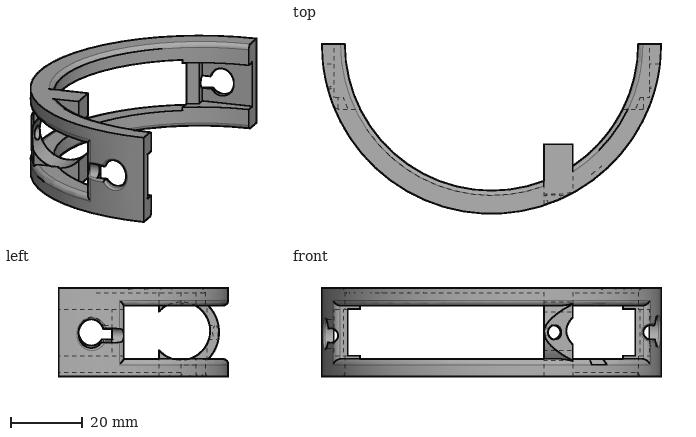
import cadquery as cq
import math

TOLERANCE = 0.01

OUTER_RADIUS = 47.45
INNER_RADIUS = 40.95
HEIGHT = 24.82
INNER_EDGE_FILLET = 1.3

WINDOW_HEIGHT = 14.84
WINDOW_FILLET = 1.6
PAD_FILLET = 2.0
PAD_LENGTH = 18.2

RECESS_RADIUS = 44.05
RECESS_HEIGHT = 13.0
RECESS_FLAT_LENGTH = 14.9

HOLE_Y = -9.1
HOLE_LENGTH = 7.1
HOLE_HEIGHT = 8.0
KEYHOLE_FILLET = 0.6
CHANNEL_DIAMETER = 4.0
LEFT_HOLE_Z = -0.4
LEFT_CHANNEL_X = -44.9
LEFT_CHANNEL_Z = -0.9
RIGHT_HOLE_Z = 0.3
RIGHT_CHANNEL_X = 44.45
RIGHT_CHANNEL_Z = 0.0

BLOCK_LEFT = 14.65
BLOCK_WIDTH = 8.1
BLOCK_RIGHT = BLOCK_LEFT + BLOCK_WIDTH
BLOCK_INNER_Y = -28.0
BLOCK_OUTER_Y = -44.0
BORE_Y = -34.15
BORE_Z = 0.4
BORE_RADIUS = 8.15
BRIDGE_RADIUS = 10.7
BRIDGE_FACE_RADIUS = 47.2
PIN_HOLE_DIAMETER = 4.0
PIN_HOLE_ANGLE = 22.0


def box(x_min, x_max, y_min, y_max, height):
    """Box given by its X and Y limits, centred on Z = 0."""
    size_x = x_max - x_min
    size_y = y_max - y_min
    return cq.Workplane("XY").box(size_x, size_y, height).translate(
        ((x_min + x_max) / 2, (y_min + y_max) / 2, 0)
    )


def disc(radius, height):
    """Cylinder on the Z axis, centred on Z = 0."""
    return cq.Workplane("XY", origin=(0, 0, -height / 2)).circle(radius).extrude(height)


def cylinder_along_x(radius, x_start, length, y, z):
    return cq.Workplane("YZ", origin=(x_start, y, z)).circle(radius).extrude(length)


def half_ring():
    """Plain half ring with its upper and lower inner edges rounded."""
    ring = disc(OUTER_RADIUS, HEIGHT).cut(disc(INNER_RADIUS, HEIGHT))
    ring = ring.edges(cq.selectors.RadiusNthSelector(0)).fillet(INNER_EDGE_FILLET)
    return ring.intersect(box(-OUTER_RADIUS, OUTER_RADIUS, -OUTER_RADIUS, 0, HEIGHT))


def is_on_outer_face(edge):
    radii = [math.hypot(*edge.positionAt(place).toTuple()[:2]) for place in (0, 0.3, 0.7, 1)]
    return min(radii) > OUTER_RADIUS - TOLERANCE


def is_window_rim(edge):
    """True for an arc of the window on the outer face of the ring."""
    at_window = abs(abs(edge.Center().z) - WINDOW_HEIGHT / 2) < TOLERANCE
    return at_window and is_on_outer_face(edge)


def cross_block():
    """Full-height block, trimmed to the outer face of the ring."""
    block = box(BLOCK_LEFT, BLOCK_RIGHT, BLOCK_OUTER_Y, BLOCK_INNER_Y, HEIGHT)
    return block.intersect(disc(OUTER_RADIUS, HEIGHT))


def bars():
    """Upper and lower half rings with their share of the cross block, rounded along the window."""
    window = box(-OUTER_RADIUS, OUTER_RADIUS, -OUTER_RADIUS, 0, WINDOW_HEIGHT)
    split_ring = half_ring().union(cross_block()).cut(window)
    return split_ring.edges().filter(is_window_rim).fillet(WINDOW_FILLET)


def pads():
    """Solid ends between the bars, rounded where their outer faces meet the window."""
    height = WINDOW_HEIGHT + 2 * WINDOW_FILLET
    ring = disc(OUTER_RADIUS, height).cut(disc(INNER_RADIUS, height))
    ends = ring.intersect(box(-OUTER_RADIUS, OUTER_RADIUS, -PAD_LENGTH, 0, height))
    window_edges = ends.faces("<Y").edges("|Z").filter(is_on_outer_face)
    return window_edges.fillet(PAD_FILLET)


def recess():
    """Space cut into the inner faces of both pads: a round groove with flat-bottomed ends."""
    groove = disc(RECESS_RADIUS, RECESS_HEIGHT)
    flat = box(-RECESS_RADIUS, RECESS_RADIUS, -RECESS_FLAT_LENGTH, 0, RECESS_HEIGHT)
    return groove.union(flat)


def cut_hole(body, side, hole_z):
    """Cut the oval hole through one pad; side is -1 for the left pad and 1 for the right."""
    hole = (
        cq.Workplane("YZ", origin=(0, HOLE_Y, hole_z))
        .ellipse(HOLE_LENGTH / 2, HOLE_HEIGHT / 2)
        .extrude(side * OUTER_RADIUS)
    )
    return body.cut(hole)


def cut_channel(body, channel_x, channel_z):
    """Cut the round channel along Y from the oval hole to the window."""
    channel = (
        cq.Workplane("XZ", origin=(channel_x, HOLE_Y, channel_z))
        .circle(CHANNEL_DIAMETER / 2)
        .extrude(PAD_LENGTH + HOLE_Y)
    )
    return body.cut(channel)


def round_keyhole_rim(body, side):
    """Round the keyhole edges on the outer face of the pad on the given side."""

    def is_keyhole_rim(edge):
        center = edge.Center()
        on_side = side * center.x > 0 and abs(center.z) < RECESS_HEIGHT / 2
        inside_pad = edge.BoundingBox().ymax < -TOLERANCE and edge.geomType() != "LINE"
        return on_side and inside_pad and is_on_outer_face(edge)

    return body.edges().filter(is_keyhole_rim).fillet(KEYHOLE_FILLET)


def bridge():
    """Part of the cross block inside the window, rounded about the bore."""
    rounded = cylinder_along_x(BRIDGE_RADIUS, BLOCK_LEFT, BLOCK_WIDTH, BORE_Y, 0)
    rounded = rounded.intersect(box(BLOCK_LEFT, BLOCK_RIGHT, -OUTER_RADIUS, BLOCK_INNER_Y, HEIGHT))
    return rounded.intersect(disc(BRIDGE_FACE_RADIUS, HEIGHT))


def bore():
    return cylinder_along_x(BORE_RADIUS, BLOCK_LEFT, BLOCK_WIDTH, BORE_Y, BORE_Z)


def pin_hole():
    """Hole from the bore to the outer face of the bridge, aimed at the axis of the ring."""
    depth = OUTER_RADIUS + BORE_Y
    hole = cq.Workplane("XZ", origin=(0, BORE_Y, 0)).circle(PIN_HOLE_DIAMETER / 2).extrude(depth)
    return hole.rotate((0, 0, 0), (0, 0, 1), PIN_HOLE_ANGLE)


body = bars().union(pads()).cut(recess())

body = cut_hole(body, -1, LEFT_HOLE_Z)
body = round_keyhole_rim(body, -1)
body = cut_channel(body, LEFT_CHANNEL_X, LEFT_CHANNEL_Z)

body = cut_hole(body, 1, RIGHT_HOLE_Z)
body = cut_channel(body, RIGHT_CHANNEL_X, RIGHT_CHANNEL_Z)
body = round_keyhole_rim(body, 1)

result = body.union(bridge()).cut(bore()).cut(pin_hole())